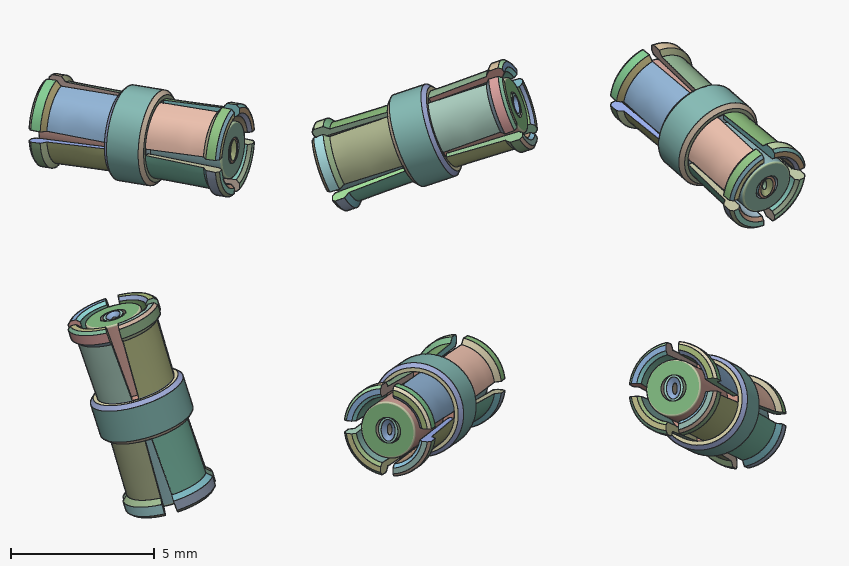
import cadquery as cq

HALF_LENGTH = 3.62

COLLAR_DIAMETER = 3.38
COLLAR_RADIUS = COLLAR_DIAMETER / 2
COLLAR_HALF_LENGTH = 0.745
COLLAR_CHAMFER = 0.145
FINGER_ROOT_X = 0.77
FINGER_ROOT_RADIUS = 1.405
FINGER_NECK_RADIUS = 1.455
FINGER_BORE_RADIUS = 1.21
LIP_RADIUS = 1.64
LIP_LENGTH = 0.47
LIP_BACK_LENGTH = 0.175
LIP_OUTER_CHAMFER = 0.11
LIP_INNER_CHAMFER = 0.12
SLOT_TIP_WIDTH = 0.455
SLOT_ROOT_WIDTH = 0.24

INSULATOR_RADIUS = 1.01
INSULATOR_HALF_LENGTH = 3.49
INSULATOR_FILLET = 0.06

CONTACT_RADIUS = 0.46
TIP_LENGTH = 0.36
TIP_HALF_WIDTH = 0.36
FUNNEL_MOUTH = (0.26, 0.39)
FUNNEL_THROAT = (0.09, 0.195)
FUNNEL_DEPTH = 0.14
SOCKET_DEPTH = 0.87


def revolve_about_x(outline):
    """Solid of revolution about X from an outline of (x, radius) points."""
    return cq.Workplane("XY").polyline(outline).close().revolve(360, (0, 0, 0), (1, 0, 0))


def shell_blank():
    """The shell before slotting, from the outline of its +X half and the mirror image of it."""
    lip_start_x = HALF_LENGTH - LIP_LENGTH
    half_outline = [
        (COLLAR_HALF_LENGTH - COLLAR_CHAMFER, COLLAR_RADIUS),
        (COLLAR_HALF_LENGTH, COLLAR_RADIUS - COLLAR_CHAMFER),
        (COLLAR_HALF_LENGTH, FINGER_ROOT_RADIUS),
        (FINGER_ROOT_X, FINGER_ROOT_RADIUS),
        (lip_start_x - LIP_BACK_LENGTH, FINGER_NECK_RADIUS),
        (lip_start_x, LIP_RADIUS),
        (HALF_LENGTH - LIP_OUTER_CHAMFER, LIP_RADIUS),
        (HALF_LENGTH, LIP_RADIUS - LIP_OUTER_CHAMFER),
        (HALF_LENGTH, FINGER_BORE_RADIUS + LIP_INNER_CHAMFER),
        (HALF_LENGTH - LIP_INNER_CHAMFER, FINGER_BORE_RADIUS),
        (FINGER_ROOT_X, FINGER_BORE_RADIUS),
        (FINGER_ROOT_X, INSULATOR_RADIUS),
    ]
    mirrored_outline = [(-x, radius) for x, radius in reversed(half_outline)]
    return revolve_about_x(half_outline + mirrored_outline)


def finger_slot(workplane_name):
    """Slot across the +X fingers, narrowing from tip to root and cutting both opposite walls."""
    outline = [
        (FINGER_ROOT_X, -SLOT_ROOT_WIDTH / 2),
        (HALF_LENGTH, -SLOT_TIP_WIDTH / 2),
        (HALF_LENGTH, SLOT_TIP_WIDTH / 2),
        (FINGER_ROOT_X, SLOT_ROOT_WIDTH / 2),
    ]
    return cq.Workplane(workplane_name).polyline(outline).close().extrude(LIP_RADIUS, both=True)


def make_shell():
    """Collar with four spring fingers at each end."""
    body = shell_blank()
    for workplane_name in ("XY", "XZ"):
        slot = finger_slot(workplane_name)
        body = body.cut(slot).cut(slot.mirror("YZ"))
    return body


def make_insulator():
    """Rod with rounded ends and a through bore for the contact."""
    rod = cq.Workplane("YZ").circle(INSULATOR_RADIUS).extrude(INSULATOR_HALF_LENGTH, both=True)
    rod = rod.faces("<X or >X").edges().fillet(INSULATOR_FILLET)
    bore = cq.Workplane("YZ").circle(CONTACT_RADIUS).extrude(INSULATOR_HALF_LENGTH, both=True)
    return rod.cut(bore)


def contact_socket():
    """Blind oval hole with a funnel mouth in the +X tip of the contact."""
    mouth_plane = cq.Workplane("YZ", origin=(INSULATOR_HALF_LENGTH, 0, 0))
    funnel = (
        mouth_plane.ellipse(*FUNNEL_MOUTH)
        .workplane(offset=-FUNNEL_DEPTH)
        .ellipse(*FUNNEL_THROAT)
        .loft(ruled=True)
    )
    return funnel.union(mouth_plane.ellipse(*FUNNEL_THROAT).extrude(-SOCKET_DEPTH))


def contact_tip():
    """Oval tip at the +X end of the contact."""
    return (
        cq.Workplane("YZ", origin=(INSULATOR_HALF_LENGTH - TIP_LENGTH, 0, 0))
        .ellipse(TIP_HALF_WIDTH, CONTACT_RADIUS)
        .extrude(TIP_LENGTH)
    )


def make_contact():
    """Round barrel with an oval tip and a socket at each end."""
    barrel_half_length = INSULATOR_HALF_LENGTH - TIP_LENGTH
    body = cq.Workplane("YZ").circle(CONTACT_RADIUS).extrude(barrel_half_length, both=True)
    tip = contact_tip()
    socket = contact_socket()
    body = body.union(tip).union(tip.mirror("YZ"))
    return body.cut(socket).cut(socket.mirror("YZ"))


shell = make_shell()
insulator = make_insulator()
contact = make_contact()

result = cq.Compound.makeCompound([shell.solids().val(), insulator.solids().val(), contact.solids().val()])